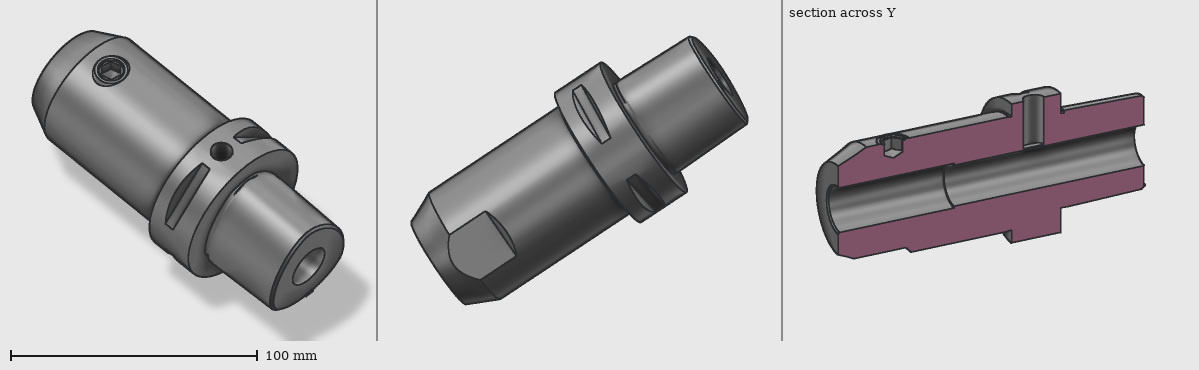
import cadquery as cq
import math


length = 138.0
nose_length = 12.7
undercut_start = 76.6
flange_start = 77.8
flange_end = 100.0
neck_end = 101.8
taper_start = 102.7
mark_height = 0.5
shank_end = length - mark_height

nose_dia = 40.3
body_dia = 52.0
undercut_dia = 51.6
flange_dia = 63.0

bore_dia = 20.0
bore_mouth_dia = 21.4
bore_depth = 52.0
through_dia = 18.4

shank_radius = 22.1
lobe_height = 1.5
lobe_count = 3
face_angle = 360 / lobe_count
shank_taper = 0.025
neck_inset = 0.1
shank_edge = 1.1
lobe_relief_dia = 45.0
lobe_relief_length = 1.5
curve_points = 24

mark_width = 4.1
mark_thickness = 0.5
mark_center_z = -18.2

flat_z = -23.5
flat_end = 30.4

groove_x = 87.9
groove_floor_radius = 27.7
groove_floor_width = 4.3
groove_wall_angle = 25.0
groove_count = 4
pocket_dia = 9.0
pocket_floor_dia = 20.3

screw_x = 25.0
screw_top_dia = 13.5
screw_top_z = 26.1
screw_chamfer = 1.7
socket_mouth_dia = 11.0
socket_ring_dia = 10.0
socket_corner_dia = 9.0
socket_depth = 5.5
socket_cone_height = 2.1
socket_turn = 16.0


def x_cylinder(start, end, dia):
    """Round bar along the axis."""
    return cq.Workplane("YZ", origin=(start, 0, 0)).circle(dia / 2).extrude(end - start)


def turned_body():
    outline = [
        (0, 0),
        (0, nose_dia / 2),
        (nose_length, body_dia / 2),
        (undercut_start, body_dia / 2),
        (undercut_start, undercut_dia / 2),
        (flange_start, undercut_dia / 2),
        (flange_start, flange_dia / 2),
        (flange_end, flange_dia / 2),
        (flange_end, 0),
    ]
    return cq.Workplane("XY").polyline(outline).close().revolve(360, (0, 0, 0), (1, 0, 0))


def lobe_point(x, radius, degrees):
    """Point of the lobed curve whose normal makes this angle with +Z."""
    t = math.radians(degrees)
    support = radius + lobe_height * math.cos(lobe_count * t)
    slope = -lobe_count * lobe_height * math.sin(lobe_count * t)
    y = support * math.sin(t) + slope * math.cos(t)
    z = support * math.cos(t) - slope * math.sin(t)
    return cq.Vector(x, y, z)


def lobed_wire(x, radius):
    """Lobed section with one edge per lobe, the edges meeting where the radius is smallest."""
    edges = []
    for face in range(lobe_count):
        first = (face - 0.5) * face_angle
        steps = [first + face_angle * i / curve_points for i in range(curve_points + 1)]
        edges.append(cq.Edge.makeSpline([lobe_point(x, radius, a) for a in steps]))
    return cq.Wire.assembleEdges(edges)


def lobed_stretch(start, start_radius, end, end_radius):
    wires = [lobed_wire(start, start_radius), lobed_wire(end, end_radius)]
    return cq.Workplane(obj=cq.Solid.makeLoft(wires, True))


def shank():
    neck_radius = shank_radius - neck_inset
    edge_start = shank_end - shank_edge
    edge_radius = shank_radius - shank_taper * (edge_start - taper_start)
    neck = lobed_stretch(flange_end, neck_radius, neck_end, neck_radius)
    relief_end = flange_end + lobe_relief_length
    relief = x_cylinder(flange_end, relief_end, 2 * flange_dia)
    neck = neck.cut(relief.cut(x_cylinder(flange_end, relief_end, lobe_relief_dia)))
    flare = lobed_stretch(neck_end, neck_radius, taper_start, shank_radius)
    taper = lobed_stretch(taper_start, shank_radius, edge_start, edge_radius)
    edge = lobed_stretch(edge_start, edge_radius, shank_end, edge_radius - shank_edge)
    return neck.union(flare).union(taper).union(edge)


def end_mark():
    return cq.Workplane("XY").box(2 * mark_height, mark_width, mark_thickness).translate(
        (shank_end, 0, mark_center_z)
    )


def bore():
    mouth_depth = (bore_mouth_dia - bore_dia) / 2
    outline = [
        (0, 0),
        (0, bore_mouth_dia / 2),
        (mouth_depth, bore_dia / 2),
        (bore_depth, bore_dia / 2),
        (bore_depth, through_dia / 2),
        (length, through_dia / 2),
        (length, 0),
    ]
    return cq.Workplane("XY").polyline(outline).close().revolve(360, (0, 0, 0), (1, 0, 0))


def nose_flat():
    """Flat below the body that ends in a 45 degree slope."""
    drop = flange_dia / 2 + flat_z
    outline = [
        (0, flat_z),
        (flat_end, flat_z),
        (flat_end + drop, flat_z - drop),
        (0, flat_z - drop),
    ]
    return cq.Workplane("XZ").polyline(outline).close().extrude(body_dia / 2, both=True)


def gripper_groove(angle):
    """Straight groove with sloping walls across the flange rim, turned about the axis."""
    depth = flange_dia / 2 - groove_floor_radius
    half_floor = groove_floor_width / 2
    half_mouth = half_floor + depth * math.tan(math.radians(groove_wall_angle))
    outline = [
        (groove_x - half_floor, groove_floor_radius),
        (groove_x + half_floor, groove_floor_radius),
        (groove_x + half_mouth, flange_dia / 2),
        (groove_x - half_mouth, flange_dia / 2),
    ]
    groove = cq.Workplane("XZ").polyline(outline).close().extrude(flange_dia / 2, both=True)
    return groove.rotate((0, 0, 0), (1, 0, 0), angle)


def flange_pocket():
    pocket = cq.Workplane("XY", origin=(groove_x, 0, 0)).circle(pocket_dia / 2).extrude(flange_dia / 2)
    return pocket.cut(x_cylinder(flange_start, flange_end, pocket_floor_dia))


def screw_cone(start_z, start_dia, end_dia, height):
    """Cone around the screw axis that goes down from start_z."""
    start = cq.Vector(screw_x, 0, start_z)
    down = cq.Vector(0, 0, -1)
    return cq.Workplane(obj=cq.Solid.makeCone(start_dia / 2, end_dia / 2, height, start, down))


def screw_head():
    """End of the screw, with a 45 degree chamfer that runs down into the body."""
    return screw_cone(screw_top_z, screw_top_dia, screw_top_dia + 2 * screw_chamfer, screw_chamfer)


def socket_hexagon(top_z, depth):
    return (
        cq.Workplane("XY", origin=(screw_x, 0, top_z))
        .transformed(rotate=(0, 0, socket_turn))
        .polygon(6, socket_corner_dia)
        .extrude(-depth)
    )


def screw_socket():
    """Hexagon socket with a countersunk mouth and a conical bottom."""
    mouth_depth = (socket_mouth_dia - socket_ring_dia) / 2
    mouth = screw_cone(screw_top_z, socket_mouth_dia, socket_ring_dia, mouth_depth)
    floor_z = screw_top_z - socket_depth
    bottom = screw_cone(floor_z, socket_corner_dia, 0, socket_cone_height)
    bottom = bottom.intersect(socket_hexagon(floor_z, socket_cone_height))
    return socket_hexagon(screw_top_z, socket_depth).union(mouth).union(bottom)


holder = turned_body().union(shank()).union(end_mark()).union(screw_head())
holder = holder.cut(nose_flat()).cut(bore()).cut(flange_pocket())
holder = holder.cut(screw_socket())
for index in range(groove_count):
    holder = holder.cut(gripper_groove(45 + index * 360 / groove_count))

result = holder